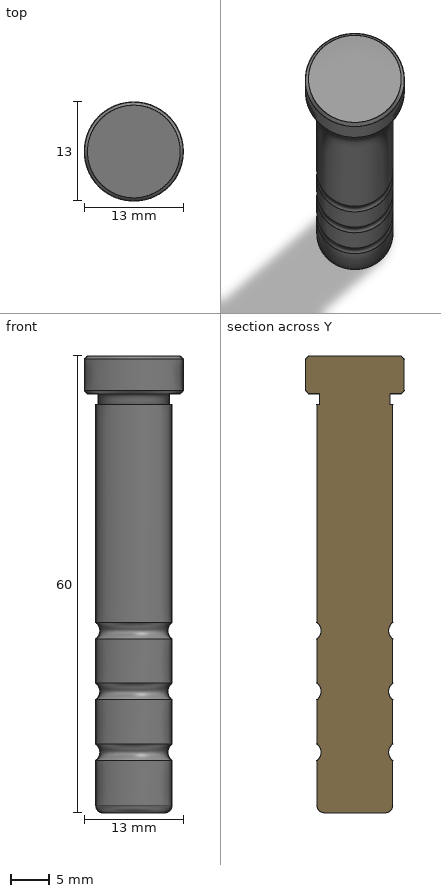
import cadquery as cq

total_length = 60.0
head_diameter = 13.0
head_height = 5.0
head_chamfer = 0.4

neck_diameter = 9.35
neck_length = 1.4

shank_diameter = 10.0
tip_fillet = 1.0

groove_count = 3
groove_pitch = 8.0
groove_width = 2.15
groove_depth = 0.55

head_bottom = total_length - head_height
shank_length = head_bottom - neck_length
shank_radius = shank_diameter / 2


def make_cylinder(diameter, height, base_z):
    """Cylinder on the Z axis standing on the given height."""
    return cq.Workplane("XY").workplane(offset=base_z).circle(diameter / 2).extrude(height)


def make_groove_ring(center_z):
    """Ring that cuts a groove with an arc-shaped bottom into the shank."""
    lower_z = center_z - groove_width / 2
    upper_z = center_z + groove_width / 2
    outer_radius = head_diameter / 2
    return (
        cq.Workplane("XZ")
        .moveTo(outer_radius, lower_z)
        .lineTo(shank_radius, lower_z)
        .threePointArc((shank_radius - groove_depth, center_z), (shank_radius, upper_z))
        .lineTo(outer_radius, upper_z)
        .close()
        .revolve(360, (0, 0, 0), (0, 1, 0))
    )


shank = make_cylinder(shank_diameter, shank_length, 0).faces("<Z").edges().fillet(tip_fillet)
for index in range(groove_count):
    shank = shank.cut(make_groove_ring((index + 1) * groove_pitch))

neck = make_cylinder(neck_diameter, neck_length, shank_length)
head = make_cylinder(head_diameter, head_height, head_bottom).faces("<Z or >Z").edges().chamfer(head_chamfer)

result = shank.union(neck).union(head)